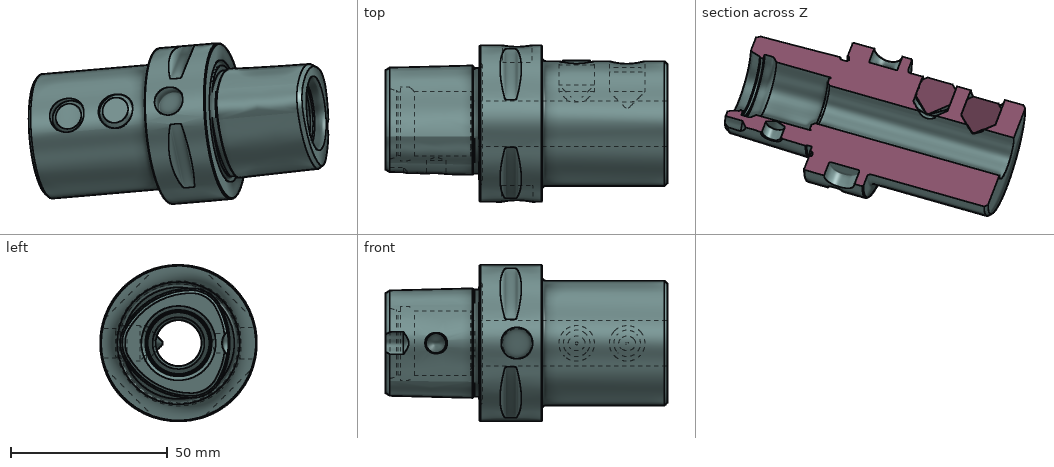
import cadquery as cq
import math

total_length = 90.0
flange_start = 30.0
flange_end = 50.0

flange_radius = 25.0
flange_chamfer = 0.4
shank_radius = 20.0
shank_chamfer = 1.0
shank_root_fillet = 1.0

lobe_centre_distance = 8.3
lobe_radius = 10.35
flat_radius = lobe_radius + math.sqrt(3) * lobe_centre_distance
coupling_taper = 1 / 40
coupling_length = 28.1
coupling_end_chamfer = 0.4
nose_chamfer_length = 1.4
nose_chamfer_inset = 0.9

neck_inset = 0.4
neck_radius = 17.8
neck_collar_length = 0.3
face_groove_width = 1.7

mouth_radius = 11.9
mouth_chamfer_length = 1.0
mouth_chamfer_inset = 0.5
mouth_taper_end = 3.4
mouth_taper_end_radius = 10.6
lip_radius = 10.2
lip_end = 4.8
clamping_groove_radius = 11.8
clamping_groove_fillet = 1.5
clamping_groove_fillet_start = 7.0
cavity_radius = 10.3
cavity_depth = 27.0
cavity_floor_relief = 0.45
bore_radius = 7.3
bore_chamfer = 1.0

gripper_count = 4
gripper_position = 40.0
gripper_floor_radius = 22.2
gripper_floor_width = 3.6
gripper_flank_angle = 30.0
gripper_corner_fillet = 0.7

pocket_position = 41.9
front_pocket_radius = 5.0
back_pocket_radius = 4.7
pocket_floor_distance = 19.6
pocket_floor_fillet = 0.4

notch_radius = 4.7
notch_axis_distance = 18.5
notch_depth = 5.7
notch_tip_length = 4.05
dimple_position = 16.1
dimple_radius = 3.15
dimple_rim_radius = 3.6
dimple_floor_distance = 11.7
drill_point_angle = 140.0

screw_radius = 5.7
screw_length = 13.0
screw_top_chamfer = 1.4
screw_tip_radius = 0.45
screw_tip_distances = {60.9: 7.2, 77.0: 5.0}


def polar(radius, angle):
    return radius * math.cos(math.radians(angle)), radius * math.sin(math.radians(angle))


def lobe_arc_point(centre_angle, radius, angle):
    """(y, z) point on an arc about the triangle corner that lies at centre_angle from +Y."""
    centre_y, centre_z = polar(lobe_centre_distance, centre_angle)
    y, z = polar(radius, angle)
    return centre_y + y, centre_z + z


def lobed_outline(x, offset):
    """Three-lobed section at X, grown outward by the offset, with one lobe toward +Y."""
    small = lobe_radius + offset
    large = flat_radius + offset
    outline = cq.Workplane("YZ", origin=(x, 0, 0)).moveTo(*lobe_arc_point(0, small, -30))
    for lobe in (0, 120, 240):
        flat = lobe + 60
        lobe_middle = lobe_arc_point(lobe, small, lobe)
        lobe_end = lobe_arc_point(lobe, small, lobe + 30)
        flat_middle = lobe_arc_point(flat + 180, large, flat)
        flat_end = lobe_arc_point(lobe + 120, small, lobe + 90)
        outline = outline.threePointArc(lobe_middle, lobe_end).threePointArc(flat_middle, flat_end)
    return outline.close()


def lobed_prism(x_start, offset_start, x_end, offset_end):
    """Solid between two three-lobed sections."""
    start = lobed_outline(x_start, offset_start).val()
    end = lobed_outline(x_end, offset_end).val()
    return cq.Workplane(cq.Solid.makeLoft([start, end], True))


def revolved(points):
    """Solid of revolution about X from (x, radius) points."""
    return cq.Workplane("XY").polyline(points).close().revolve(360, (0, 0, 0), (1, 0, 0))


def coupling():
    """Tapered three-lobed coupling with its chamfered nose, back edge and neck."""
    def taper_offset(x):
        return (x - coupling_length) * coupling_taper

    chamfer_start = coupling_length - coupling_end_chamfer
    nose_offset = taper_offset(nose_chamfer_length)
    collar_start = flange_start - neck_collar_length
    flange_middle = (flange_start + flange_end) / 2
    nose = lobed_prism(0, nose_offset - nose_chamfer_inset, nose_chamfer_length, nose_offset)
    cone = lobed_prism(nose_chamfer_length, nose_offset, chamfer_start, taper_offset(chamfer_start))
    back = lobed_prism(chamfer_start, taper_offset(chamfer_start), coupling_length, -neck_inset)
    neck = lobed_prism(coupling_length, -neck_inset, flange_middle, -neck_inset)
    neck_limit = revolved([
        (coupling_length, 0),
        (coupling_length, neck_radius + neck_inset),
        (coupling_length + neck_inset, neck_radius),
        (flange_middle, neck_radius),
        (flange_middle, 0),
    ])
    collar = (
        cq.Workplane("YZ", origin=(collar_start, 0, 0))
        .circle(neck_radius)
        .extrude(flange_middle - collar_start)
    )
    return nose.union(cone).union(back).union(neck.intersect(neck_limit)).union(collar)


def flange_and_shank():
    """Round flange and shank joined by a concave fillet."""
    flange = (
        cq.Workplane("YZ", origin=(flange_start, 0, 0))
        .circle(flange_radius)
        .extrude(flange_end - flange_start)
        .edges()
        .chamfer(flange_chamfer)
    )
    shank = (
        cq.Workplane("YZ", origin=(flange_end, 0, 0))
        .circle(shank_radius)
        .extrude(total_length - flange_end)
        .faces(">X")
        .chamfer(shank_chamfer)
    )
    fillet_edge = shank_radius + shank_root_fillet
    fillet_end = flange_end + shank_root_fillet
    root = (
        cq.Workplane("XY")
        .moveTo(flange_end, 0)
        .lineTo(flange_end, fillet_edge)
        .radiusArc((fillet_end, shank_radius), -shank_root_fillet)
        .lineTo(fillet_end, 0)
        .close()
        .revolve(360, (0, 0, 0), (1, 0, 0))
    )
    return flange.union(shank).union(root)


def face_groove():
    """Half-round ring groove in the flange face, just outside the neck."""
    half_width = face_groove_width / 2
    return (
        cq.Workplane("XY")
        .moveTo(flange_start, neck_radius)
        .threePointArc(
            (flange_start + half_width, neck_radius + half_width),
            (flange_start, neck_radius + face_groove_width),
        )
        .close()
        .revolve(360, (0, 0, 0), (1, 0, 0))
    )


def bore():
    """Through bore and its cavity, with a fillet and a 45 degree cone behind the clamping groove."""
    mouth_chamfer_end_radius = mouth_radius - mouth_chamfer_inset
    lip_start = mouth_taper_end + mouth_taper_end_radius - lip_radius
    fillet_run = clamping_groove_fillet / math.sqrt(2)
    fillet_drop = clamping_groove_fillet - fillet_run
    cone_start = clamping_groove_fillet_start + fillet_run
    cone_start_radius = clamping_groove_radius - fillet_drop
    cone_end = cone_start + cone_start_radius - cavity_radius
    throat_radius = bore_radius + bore_chamfer
    return (
        cq.Workplane("XY")
        .lineTo(0, mouth_radius)
        .lineTo(mouth_chamfer_length, mouth_chamfer_end_radius)
        .lineTo(mouth_taper_end, mouth_taper_end_radius)
        .lineTo(lip_start, lip_radius)
        .lineTo(lip_end, lip_radius)
        .lineTo(lip_end, clamping_groove_radius)
        .lineTo(clamping_groove_fillet_start, clamping_groove_radius)
        .radiusArc((cone_start, cone_start_radius), clamping_groove_fillet)
        .lineTo(cone_end, cavity_radius)
        .lineTo(cavity_depth + cavity_floor_relief, cavity_radius)
        .lineTo(cavity_depth, cavity_radius - cavity_floor_relief)
        .lineTo(cavity_depth, throat_radius)
        .lineTo(cavity_depth + bore_chamfer, bore_radius)
        .lineTo(total_length, bore_radius)
        .lineTo(total_length, 0)
        .close()
        .revolve(360, (0, 0, 0), (1, 0, 0))
    )


def gripper_grooves():
    """Straight V-flanked grooves with a flat floor, square to the diagonals of the flange."""
    depth = flange_radius - gripper_floor_radius
    half_floor = gripper_floor_width / 2
    half_top = half_floor + depth * math.tan(math.radians(gripper_flank_angle))
    groove = (
        cq.Workplane("XZ", origin=(gripper_position, 0, 0))
        .polyline([
            (-half_floor, gripper_floor_radius),
            (half_floor, gripper_floor_radius),
            (half_top, flange_radius),
            (-half_top, flange_radius),
        ])
        .close()
        .extrude(flange_radius, both=True)
        .faces("<Z")
        .edges("|Y")
        .fillet(gripper_corner_fillet)
    )
    step = 360 / gripper_count
    return [groove.rotate((0, 0, 0), (1, 0, 0), step * (i + 0.5)) for i in range(gripper_count)]


def flange_pocket(radius):
    """Flat-bottomed pocket on the -Y side of the flange."""
    return (
        cq.Workplane("XZ", origin=(pocket_position, -pocket_floor_distance, 0))
        .circle(radius)
        .extrude(flange_radius - pocket_floor_distance)
        .faces(">Y")
        .edges()
        .fillet(pocket_floor_fillet)
    )


def nose_notch():
    """Notch in the nose: a cylinder parallel to X with a conical end, open toward -Y."""
    notch = revolved([
        (0, 0),
        (0, -notch_radius),
        (notch_depth, -notch_radius),
        (notch_depth + notch_tip_length, 0),
    ])
    return notch.translate((0, -notch_axis_distance, 0))


def turned_along_y(x, profile):
    """Solid turned about a line parallel to Y through X, from (radius, y) points."""
    return (
        cq.Workplane("XY", origin=(x, 0, 0)).polyline(profile).close().revolve(360, (0, 0, 0), (0, 1, 0))
    )


def dimple():
    """Blind drilled hole in the -Y flat with a chamfered rim."""
    flat_distance = flat_radius - lobe_centre_distance
    surface = flat_distance - (coupling_length - dimple_position) * coupling_taper
    rim_depth = dimple_rim_radius - dimple_radius
    point_length = dimple_radius / math.tan(math.radians(drill_point_angle / 2))
    return turned_along_y(dimple_position, [
        (0, -flange_radius),
        (dimple_rim_radius, -flange_radius),
        (dimple_rim_radius, -surface),
        (dimple_radius, -surface + rim_depth),
        (dimple_radius, -dimple_floor_distance),
        (0, -dimple_floor_distance + point_length),
    ])


def screw_hole(x):
    """Hole from the +Y side that ends in a 90 degree seat matching a fully driven screw."""
    tip = min(screw_tip_distances.values())
    return turned_along_y(x, [
        (0, tip),
        (screw_tip_radius, tip),
        (screw_radius, tip + screw_radius - screw_tip_radius),
        (screw_radius, flange_radius),
        (0, flange_radius),
    ])


def clamping_screw(x, tip):
    """Set screw with a 90 degree point and a chamfered outer end."""
    top = tip + screw_length
    return turned_along_y(x, [
        (0, tip),
        (screw_tip_radius, tip),
        (screw_radius, tip + screw_radius - screw_tip_radius),
        (screw_radius, top - screw_top_chamfer),
        (screw_radius - screw_top_chamfer, top),
        (0, top),
    ])


def holder():
    """Tool holder body with all its holes, pockets and grooves."""
    body = flange_and_shank().cut(face_groove()).union(coupling()).cut(bore())
    cutters = [*gripper_grooves(), nose_notch(), dimple()]
    cutters += [flange_pocket(front_pocket_radius), flange_pocket(back_pocket_radius).mirror("XZ")]
    cutters += [screw_hole(x) for x in screw_tip_distances]
    for cutter in cutters:
        body = body.cut(cutter)
    return body


tool_holder = holder()
clamping_screws = [clamping_screw(x, tip) for x, tip in screw_tip_distances.items()]

result = cq.Compound.makeCompound([tool_holder.val(), *[screw.val() for screw in clamping_screws]])